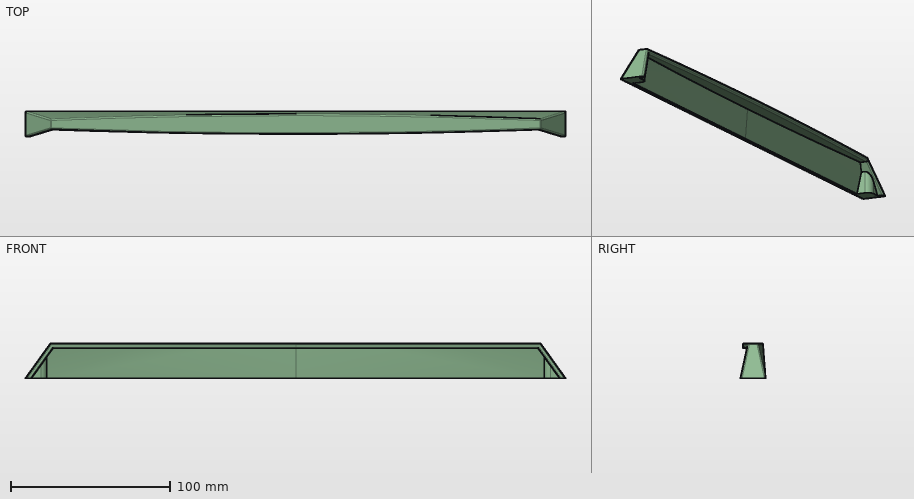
import cadquery as cq
import math

length = 339.09
width = 16.0
height = 22.05

top_length = 307.5
top_end_width = 6.2
top_middle_width = 12.6

cap_thickness = 3.0
back_thickness = 2.5
end_thickness = 3.0

pillar_inner_x = 156.0
pillar_front_y = -4.0
pillar_radius = 4.0

arc_quarter_share = 0.75

edge_radius = 1.0
opening_radius = 0.8

front_clearance = 10.0

end_slope = (length - top_length) / 2 / height
end_run = end_thickness * math.hypot(1, end_slope)
cavity_height = height - cap_thickness
half_cavity_foot = length / 2 - end_run
bow = (top_middle_width - top_end_width) / 2


def bowed_edge(sketch, start_x, end_x, end_y, bow_y):
    """Continue a profile along Y = end_y with an arc bulging by bow_y, split at X = 0."""
    quarter_bow = bow_y * arc_quarter_share
    middle = (0, end_y + bow_y)
    sketch = sketch.threePointArc((start_x / 2, end_y + quarter_bow), middle)
    return sketch.threePointArc((end_x / 2, end_y + quarter_bow), (end_x, end_y))


def split_edge(sketch, end_x, y):
    """Continue a profile along a straight edge split at X = 0."""
    return sketch.lineTo(0, y).lineTo(end_x, y)


def make_outer_body():
    """Solid with a rectangular foot, sloping ends and a bowed top, its edges rounded above the foot."""
    half_foot = length / 2
    half_top = top_length / 2
    half_width = width / 2
    half_end = top_end_width / 2

    profile = cq.Workplane("XY").moveTo(-half_foot, -half_width)
    profile = split_edge(profile, half_foot, -half_width).lineTo(half_foot, half_width)
    profile = split_edge(profile, -half_foot, half_width).close()

    profile = profile.workplane(offset=height).moveTo(-half_top, -half_end)
    profile = bowed_edge(profile, -half_top, half_top, -half_end, -bow).lineTo(half_top, half_end)
    profile = bowed_edge(profile, half_top, -half_top, half_end, bow).close()
    body = profile.loft(ruled=True)
    rounded_edges = body.faces(">Z or <X or >X").edges("not <Z")
    return rounded_edges.fillet(edge_radius)


def make_cavity():
    """Space open to the front and below, following the back wall, the end plates and the cap."""
    rise = cavity_height / height
    half_roof = half_cavity_foot - end_slope * cavity_height
    front_y = -width / 2 - front_clearance
    foot_back_y = width / 2 - back_thickness
    roof_back_y = foot_back_y - (width - top_end_width) / 2 * rise
    roof_bow = bow * rise

    profile = cq.Workplane("XY").moveTo(-half_cavity_foot, front_y)
    profile = split_edge(profile, half_cavity_foot, front_y).lineTo(half_cavity_foot, foot_back_y)
    profile = split_edge(profile, -half_cavity_foot, foot_back_y).close()

    profile = profile.workplane(offset=cavity_height).moveTo(-half_roof, front_y)
    profile = split_edge(profile, half_roof, front_y).lineTo(half_roof, roof_back_y)
    profile = bowed_edge(profile, half_roof, -half_roof, roof_back_y, roof_bow).close()
    return profile.loft(ruled=True)


def make_pillar(side):
    """Upright block at one end (side is -1 or 1) with its inner front corner rounded."""
    size_x = length / 2 - pillar_inner_x
    size_y = width / 2 - pillar_front_y
    block = cq.Workplane("XY").box(size_x, size_y, height, centered=(True, False, False))
    inner_corner = "<X and <Y" if side > 0 else ">X and <Y"
    block = block.edges("|Z").edges(inner_corner).fillet(pillar_radius)
    return block.translate((side * (pillar_inner_x + size_x / 2), pillar_front_y, 0))


def round_opening(body):
    """Round the edges where the cap and the end plates meet the open front."""
    margin = 0.2
    half_span = half_cavity_foot - end_slope * cavity_height / 2 + margin
    near_corner = (-half_span, -width / 2, margin)
    far_corner = (half_span, pillar_front_y - margin, cavity_height + margin)
    return body.edges(cq.selectors.BoxSelector(near_corner, far_corner)).fillet(opening_radius)


cavity = make_cavity()
for side in (-1, 1):
    cavity = cavity.cut(make_pillar(side))

result = round_opening(make_outer_body().cut(cavity))